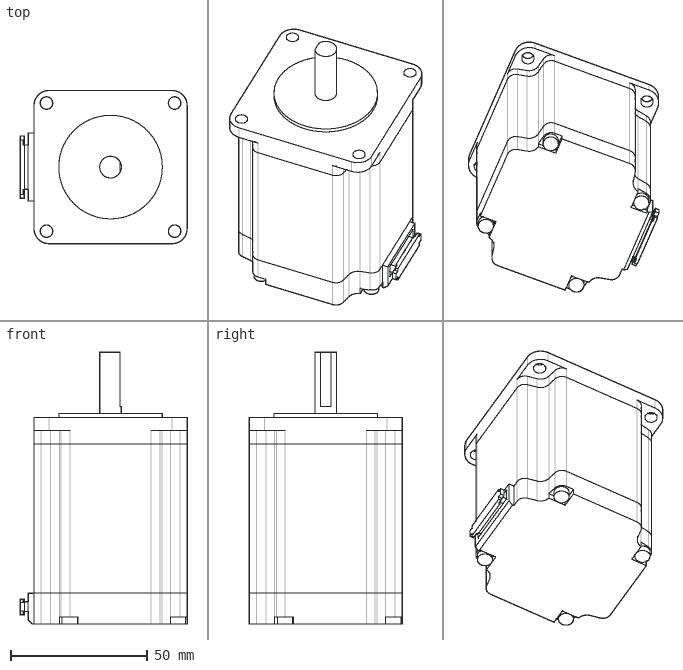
import cadquery as cq
import math

rear_cap_top = 11.4
stator_top = 66.2
flange_bottom = 71.1
flange_top = 76.0
pilot_height = 1.5
shaft_top = 100.0

body_width = 56.4
half_width = body_width / 2
flange_corner_radius = 5.6

side_half_width = 14.9
lobe_radius = 3.3
notch_floor = 22.0
wall_draft = math.radians(11)

hole_pitch = 47.1
hole_diameter = 4.5
pilot_diameter = 38.1
shaft_diameter = 8.0
shaft_flat_offset = 3.5
shaft_flat_length = 20.0

recess_height = 2.6
recess_near = 11.9
recess_far = 19.0
boss_diameter = 5.6
boss_along = 15.0
boss_out = 24.8

pad_thickness = 2.1
pad_width = 25.1
pad_chamfer = 1.5
socket_width = 21.2
socket_bottom = 4.6
socket_top = 9.8

connector_reach = 5.0
shell_back = 3.5
rim_thickness = 1.1
neck_width = 16.4
neck_top = 8.3
tab_width = 23.0
tab_bottom = 4.9
tab_top = 8.0
shell_width = 20.0
shell_bottom = 3.4
shell_top = 9.2


def notched_prism(bottom, top):
    """Square prism with a rounded notch along each vertical edge."""
    sin_draft = math.sin(wall_draft)
    cos_draft = math.cos(wall_draft)

    lobe_center = half_width - lobe_radius
    mid_angle = (math.pi / 2 - wall_draft) / 2
    lobe_start = (side_half_width, half_width)
    lobe_mid = (
        side_half_width + lobe_radius * math.sin(mid_angle),
        lobe_center + lobe_radius * math.cos(mid_angle),
    )
    lobe_end = (
        side_half_width + lobe_radius * cos_draft,
        lobe_center + lobe_radius * sin_draft,
    )

    wall_end = (lobe_end[0] + (lobe_end[1] - notch_floor) * math.tan(wall_draft), notch_floor)
    concave_radius = (notch_floor - wall_end[0]) / (cos_draft - sin_draft)
    concave_center = wall_end[0] + concave_radius * cos_draft
    concave_mid = concave_center - concave_radius * math.sqrt(0.5)

    def turned(point, quarter):
        x, y = point
        for _ in range(quarter):
            x, y = y, -x
        return (x, y)

    def mirrored(point):
        return (point[1], point[0])

    outline = cq.Workplane("XY").workplane(offset=bottom).moveTo(-side_half_width, half_width)
    for quarter in range(4):
        outline = (
            outline.lineTo(*turned(lobe_start, quarter))
            .threePointArc(turned(lobe_mid, quarter), turned(lobe_end, quarter))
            .lineTo(*turned(wall_end, quarter))
            .threePointArc(
                turned((concave_mid, concave_mid), quarter),
                turned(mirrored(wall_end), quarter),
            )
            .lineTo(*turned(mirrored(lobe_end), quarter))
            .threePointArc(
                turned(mirrored(lobe_mid), quarter),
                turned(mirrored(lobe_start), quarter),
            )
        )
    return outline.close().extrude(top - bottom)


def cylinder(diameter, bottom, top):
    return cq.Workplane("XY").workplane(offset=bottom).circle(diameter / 2).extrude(top - bottom)


def block(x_range, y_range, z_range):
    """Box that spans the given ranges."""
    spans = [high - low for low, high in (x_range, y_range, z_range)]
    corner = (x_range[0], y_range[0], z_range[0])
    return cq.Workplane("XY").box(*spans, centered=False).translate(corner)


def outward_block(start, end, width, bottom, top):
    """Box on the -X side, between two distances outward from the side face, centred on Y."""
    return block((-half_width - end, -half_width - start), (-width / 2, width / 2), (bottom, top))


def make_front_cap():
    """Flange with pilot and D-cut output shaft."""
    flange = (
        cq.Workplane("XY")
        .workplane(offset=flange_bottom)
        .rect(body_width, body_width)
        .extrude(flange_top - flange_bottom)
        .edges("|Z")
        .fillet(flange_corner_radius)
        .faces(">Z")
        .workplane()
        .rect(hole_pitch, hole_pitch, forConstruction=True)
        .vertices()
        .hole(hole_diameter)
    )
    pilot_top = flange_top + pilot_height
    pilot = cylinder(pilot_diameter, flange_top, pilot_top)
    shaft_radius = shaft_diameter / 2
    flat_cut = block(
        (shaft_flat_offset, shaft_diameter),
        (-shaft_radius, shaft_radius),
        (shaft_top - shaft_flat_length, shaft_top),
    )
    shaft = cylinder(shaft_diameter, pilot_top, shaft_top).cut(flat_cut)
    return notched_prism(stator_top, flange_bottom).union(flange).union(pilot).union(shaft)


def make_stator():
    return notched_prism(rear_cap_top, stator_top)


def make_rear_cap():
    """End cap with four bossed recesses underneath and a socketed connector pad."""
    cap = notched_prism(0, rear_cap_top)

    recess = block((-recess_far, -recess_near), (-half_width, -notch_floor), (0, recess_height))
    boss = cylinder(boss_diameter, 0, recess_height).translate((-boss_along, -boss_out, 0))
    pocket = recess.cut(boss)
    for quarter in range(4):
        cap = cap.cut(pocket.rotate((0, 0, 0), (0, 0, 1), 90 * quarter))

    pad = outward_block(0, pad_thickness, pad_width, 0, rear_cap_top)
    pad = pad.edges("<X and <Z").chamfer(pad_chamfer)
    socket = outward_block(0, pad_thickness, socket_width, socket_bottom, socket_top)
    return cap.union(pad.cut(socket))


def make_connector():
    """Plug shell on a neck that stands on the socket floor."""
    rim_back = connector_reach - rim_thickness
    neck = outward_block(0, shell_back, neck_width, socket_bottom, neck_top)
    shell = outward_block(shell_back, rim_back, neck_width, shell_bottom, shell_top)
    rim = outward_block(rim_back, connector_reach, shell_width, shell_bottom, shell_top)
    tabs = outward_block(shell_back, connector_reach, tab_width, tab_bottom, tab_top)
    return neck.union(shell).union(rim).union(tabs)


front_cap = make_front_cap()
stator = make_stator()
rear_cap = make_rear_cap()
connector = make_connector()

result = cq.Compound.makeCompound(
    [front_cap.val(), stator.val(), rear_cap.val(), connector.val()]
)